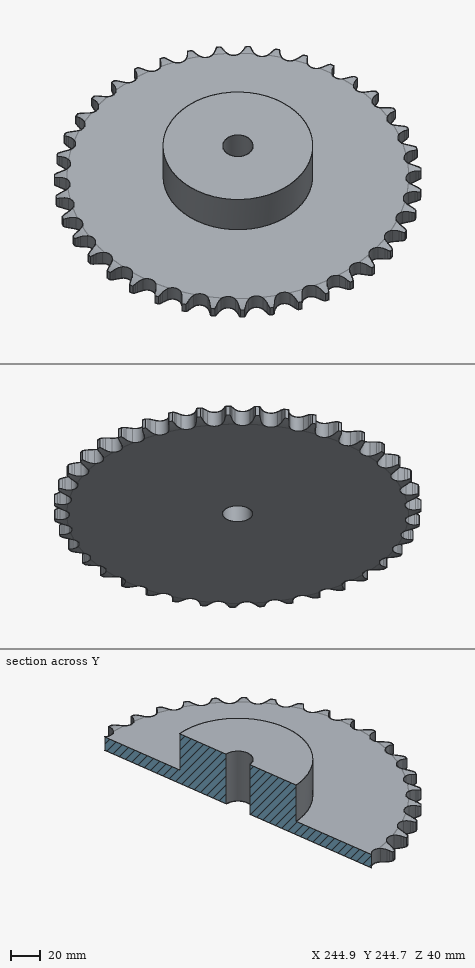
import cadquery as cq
import math

tooth_count = 39
tip_radius = 122.5
pitch_radius = 118.3

seat_radius = 6.1
seat_half_angle = 53.5
working_radius = 15.7
working_angle = 16.6
straight_length = 1.7
topping_radius = 9.8

plate_thickness = 11.0
total_height = 40.0
hub_diameter = 100.0
bore_diameter = 20.0

relief_radius = 19.0
relief_width = 8.5

tooth_step = 2 * math.pi / tooth_count
first_gap_angle = -math.pi / 2 + tooth_step / 2


def polar(radius, angle):
    return (radius * math.cos(angle), radius * math.sin(angle))


def shifted(point, distance, angle):
    step = polar(distance, angle)
    return (point[0] + step[0], point[1] + step[1])


def gap_side_points():
    """Points of one side of a gap as (radial, sideways), with the gap along the radial axis."""
    inward = math.pi
    seat_end_angle = inward - math.radians(seat_half_angle)
    working_end_angle = seat_end_angle - math.radians(working_angle)
    working_middle_angle = (seat_end_angle + working_end_angle) / 2

    seat_center = (pitch_radius, 0)
    seat_end = shifted(seat_center, seat_radius, seat_end_angle)
    working_center = shifted(seat_end, -working_radius, seat_end_angle)
    working_middle = shifted(working_center, working_radius, working_middle_angle)
    working_end = shifted(working_center, working_radius, working_end_angle)
    straight_end = shifted(working_end, straight_length, working_end_angle - math.pi / 2)

    topping_center = shifted(straight_end, topping_radius, working_end_angle)
    center_distance = math.hypot(*topping_center)
    center_angle = math.atan2(topping_center[1], topping_center[0])
    cos_offset = (
        (tip_radius**2 + center_distance**2 - topping_radius**2)
        / (2 * tip_radius * center_distance)
    )
    tip = polar(tip_radius, center_angle - math.acos(cos_offset))
    topping_start_angle = working_end_angle - math.pi
    topping_end_angle = math.atan2(tip[1] - topping_center[1], tip[0] - topping_center[0])
    topping_middle_angle = (topping_start_angle + topping_end_angle) / 2
    topping_middle = shifted(topping_center, topping_radius, topping_middle_angle)
    return seat_end, working_middle, working_end, straight_end, topping_middle, tip


def turned(point, angle, side=1):
    """Place a gap point on the gap at the given angle; side is 1 or -1."""
    radial = point[0]
    sideways = side * point[1]
    return (
        radial * math.cos(angle) - sideways * math.sin(angle),
        radial * math.sin(angle) + sideways * math.cos(angle),
    )


def toothed_plate():
    seat_end, working_middle, working_end, straight_end, topping_middle, tip = gap_side_points()
    seat_bottom = (pitch_radius - seat_radius, 0)
    outline = cq.Workplane("XY").moveTo(*turned(tip, first_gap_angle, -1))
    for index in range(tooth_count):
        gap = first_gap_angle + index * tooth_step
        next_gap = gap + tooth_step
        outline = (
            outline
            .threePointArc(turned(topping_middle, gap, -1), turned(straight_end, gap, -1))
            .lineTo(*turned(working_end, gap, -1))
            .threePointArc(turned(working_middle, gap, -1), turned(seat_end, gap, -1))
            .threePointArc(turned(seat_bottom, gap), turned(seat_end, gap))
            .threePointArc(turned(working_middle, gap), turned(working_end, gap))
            .lineTo(*turned(straight_end, gap))
            .threePointArc(turned(topping_middle, gap), turned(tip, gap))
            .threePointArc(polar(tip_radius, gap + tooth_step / 2), turned(tip, next_gap, -1))
        )
    return outline.close().extrude(plate_thickness)


def relieved_blank():
    """Disc whose rim is rounded on both faces, leaving a flat band at the tooth tips."""
    face_radius = tip_radius - relief_width

    def relief_drop(distance):
        """Depth of the relief below the face, at a distance outward from where it starts."""
        return relief_radius - math.sqrt(relief_radius**2 - distance**2)

    middle_radius = face_radius + relief_width / 2
    middle_drop = relief_drop(relief_width / 2)
    rim_drop = relief_drop(relief_width)
    return (
        cq.Workplane("XZ")
        .lineTo(face_radius, 0)
        .threePointArc((middle_radius, middle_drop), (tip_radius, rim_drop))
        .lineTo(tip_radius, plate_thickness - rim_drop)
        .threePointArc((middle_radius, plate_thickness - middle_drop), (face_radius, plate_thickness))
        .lineTo(0, plate_thickness)
        .close()
        .revolve(360, (0, 0), (0, 1))
    )


plate = toothed_plate().intersect(relieved_blank())
hub = cq.Workplane("XY").circle(hub_diameter / 2).extrude(total_height)
bore = cq.Workplane("XY").circle(bore_diameter / 2).extrude(total_height)
result = plate.union(hub).cut(bore)